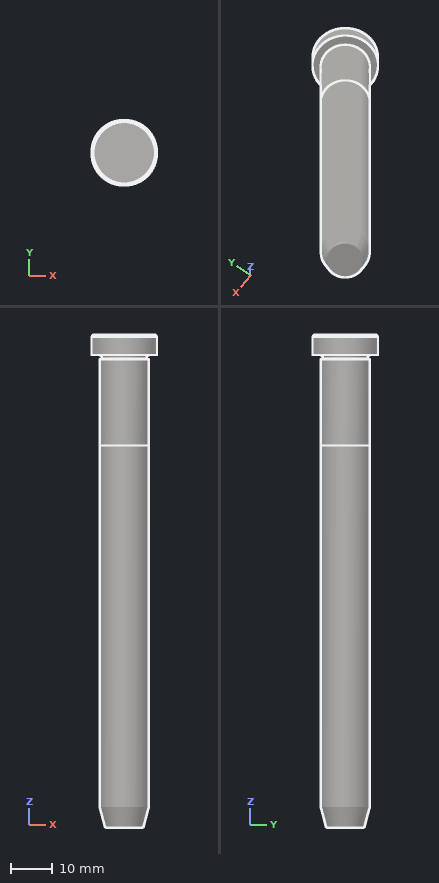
import cadquery as cq
import math

total_length = 120.0
shaft_radius = 12.0 / 2

head_radius = 16.0 / 2
head_height = 5.0
head_chamfer = 0.5

groove_width = 1.0
groove_depth = 0.5
groove_ramp_height = 0.2
groove_fillet = 0.5

upper_length = 27.0

tip_length = 5.0
tip_angle = math.radians(15)
tip_fillet = 0.5

split_z = total_length - upper_length
head_bottom_z = total_length - head_height


def point_on_arc(center, radius, angle):
    """Point on a circle, with the angle taken from the outward radial direction."""
    return (center[0] + radius * math.cos(angle), center[1] + radius * math.sin(angle))


def revolve_profile(profile):
    """Turn a closed half profile around the Z axis."""
    return profile.revolve(360, (0, 0, 0), (0, 1, 0))


def make_headed_shank():
    """Upper body: chamfered head, undercut groove and the first stretch of the shaft."""
    groove_bottom_z = head_bottom_z - groove_width
    groove_radius = shaft_radius - groove_depth
    fillet_center = (groove_radius + groove_fillet, head_bottom_z - groove_fillet)
    fillet_start = point_on_arc(fillet_center, groove_fillet, math.radians(180))
    fillet_middle = point_on_arc(fillet_center, groove_fillet, math.radians(135))
    fillet_end = point_on_arc(fillet_center, groove_fillet, math.radians(90))
    profile = (
        cq.Workplane("XZ")
        .moveTo(0, split_z)
        .lineTo(shaft_radius, split_z)
        .lineTo(shaft_radius, groove_bottom_z)
        .lineTo(groove_radius, groove_bottom_z + groove_ramp_height)
        .lineTo(*fillet_start)
        .threePointArc(fillet_middle, fillet_end)
        .lineTo(head_radius, head_bottom_z)
        .lineTo(head_radius, total_length - head_chamfer)
        .lineTo(head_radius - head_chamfer, total_length)
        .lineTo(0, total_length)
        .close()
    )
    return revolve_profile(profile)


def make_tapered_shaft():
    """Lower body: plain shaft that ends in a cone with a rounded end edge."""
    end_radius = shaft_radius - tip_length * math.tan(tip_angle)
    profile = (
        cq.Workplane("XZ")
        .moveTo(0, 0)
        .lineTo(end_radius, 0)
        .lineTo(shaft_radius, tip_length)
        .lineTo(shaft_radius, split_z)
        .lineTo(0, split_z)
        .close()
    )
    return revolve_profile(profile).faces("<Z").edges().fillet(tip_fillet)


headed_shank = make_headed_shank()
tapered_shaft = make_tapered_shaft()

result = cq.Compound.makeCompound([headed_shank.val(), tapered_shaft.val()])